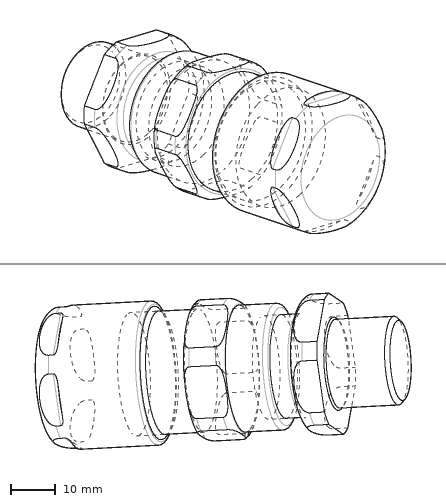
import cadquery as cq
import math

LENGTH = 81.6

FLAT_RADIUS = 15.0
CORNER_RADIUS = 16.2

STUB_RADIUS = 20.0 / 2
STUB_CHAMFER = 1.0
SHOULDER_RADIUS = 21.0 / 2
SHOULDER_START = 14.6
NUT_START = 15.0
NUT_END = 22.0
NUT_END_RADIUS = 25.4 / 2
NUT_ROUND = CORNER_RADIUS - NUT_END_RADIUS
NECK_RADIUS = 11.7
NECK_FILLET = NUT_END_RADIUS - NECK_RADIUS
NECK_DEPTH = 4.1

COLLAR_START = 27.25
COLLAR_RADIUS = 14.3
COLLAR_ROUND = 1.0
HEX_START = 36.9
HEX_END = 46.5
HEX_ROUND = 1.7
BARREL_RADIUS = 13.9
BARREL_DEPTH = 6.5

CAP_START = 55.55
LIP_LENGTH = 1.0
LIP_RADIUS = 15.0
CAP_FRONT_ROUND = 0.7
CAP_END_ROUND = 4.1
CAP_FLAT_START = 75.45
WALL_FILLET = 1.0


def arc_middle(center_x, center_r, radius, angle):
    """Point of an arc in the (x, r) half plane, at an angle in degrees from +X."""
    turn = math.radians(angle)
    return (center_x + radius * math.cos(turn), center_r + radius * math.sin(turn))


def turned(outline):
    """Solid of revolution about the X axis of a closed (x, r) outline."""
    return outline.close().revolve(360, (0, 0, 0), (1, 0, 0))


def bar(radius, start, end):
    """Round bar along X."""
    return cq.Workplane("YZ", origin=(start, 0, 0)).circle(radius).extrude(end - start)


def hexagon(start, end):
    """Hexagonal prism with two of its flats facing +Z and -Z."""
    across_corners = 2 * FLAT_RADIUS / math.cos(math.pi / 6)
    return cq.Workplane("YZ", origin=(start, 0, 0)).polygon(6, across_corners).extrude(end - start)


def make_entry():
    """Stub with a conical shoulder, nut with one rounded side, and a neck that enters the collar."""
    stub = bar(STUB_RADIUS, 0, NUT_START).faces("<X").chamfer(STUB_CHAMFER)
    shoulder = turned(
        cq.Workplane("XY")
        .moveTo(SHOULDER_START, 0)
        .lineTo(SHOULDER_START, STUB_RADIUS)
        .lineTo(NUT_START, SHOULDER_RADIUS)
        .lineTo(NUT_START, 0)
    )
    round_x = NUT_END - NUT_ROUND
    round_r = CORNER_RADIUS - NUT_ROUND
    fillet_x = NUT_END + NECK_FILLET
    fillet_r = NECK_RADIUS + NECK_FILLET
    nut_and_neck = turned(
        cq.Workplane("XY")
        .moveTo(NUT_START, 0)
        .lineTo(NUT_START, CORNER_RADIUS)
        .lineTo(round_x, CORNER_RADIUS)
        .threePointArc(arc_middle(round_x, round_r, NUT_ROUND, 45), (NUT_END, round_r))
        .threePointArc(arc_middle(fillet_x, fillet_r, NECK_FILLET, 225), (fillet_x, NECK_RADIUS))
        .lineTo(COLLAR_START + NECK_DEPTH, NECK_RADIUS)
        .lineTo(COLLAR_START + NECK_DEPTH, 0)
    )
    nut_and_neck = nut_and_neck.intersect(hexagon(NUT_START, COLLAR_START + NECK_DEPTH))
    return stub.union(shoulder).union(nut_and_neck)


def make_middle():
    """Round collar with a hexagonal grip and a barrel that enters the cap."""
    collar = bar(COLLAR_RADIUS, COLLAR_START, HEX_START).faces("<X").edges().fillet(COLLAR_ROUND)
    grip = bar(CORNER_RADIUS, HEX_START, HEX_END).edges().fillet(HEX_ROUND)
    grip = grip.intersect(hexagon(HEX_START, HEX_END))
    barrel = bar(BARREL_RADIUS, HEX_END, CAP_START + BARREL_DEPTH)
    neck_hole = bar(NECK_RADIUS, COLLAR_START, COLLAR_START + NECK_DEPTH)
    return collar.union(grip).union(barrel).cut(neck_hole)


def make_cap():
    """Round cap with a conical lip, a rounded end and six wrench flats that run out in a filleted wall."""
    body_start = CAP_START + LIP_LENGTH
    front_x = body_start + CAP_FRONT_ROUND
    front_r = CORNER_RADIUS - CAP_FRONT_ROUND
    end_x = LENGTH - CAP_END_ROUND
    end_r = CORNER_RADIUS - CAP_END_ROUND
    cap = turned(
        cq.Workplane("XY")
        .moveTo(CAP_START, 0)
        .lineTo(CAP_START, BARREL_RADIUS)
        .lineTo(body_start, LIP_RADIUS)
        .lineTo(body_start, front_r)
        .threePointArc(arc_middle(front_x, front_r, CAP_FRONT_ROUND, 135), (front_x, CORNER_RADIUS))
        .lineTo(end_x, CORNER_RADIUS)
        .threePointArc(arc_middle(end_x, end_r, CAP_END_ROUND, 45), (LENGTH, end_r))
        .lineTo(LENGTH, 0)
    )
    flat_cutter = (
        cq.Workplane("XZ")
        .moveTo(CAP_FLAT_START, CORNER_RADIUS)
        .lineTo(CAP_FLAT_START, FLAT_RADIUS + WALL_FILLET)
        .radiusArc((CAP_FLAT_START + WALL_FILLET, FLAT_RADIUS), -WALL_FILLET)
        .lineTo(LENGTH, FLAT_RADIUS)
        .lineTo(LENGTH, CORNER_RADIUS)
        .close()
        .extrude(CORNER_RADIUS, both=True)
    )
    for side in range(6):
        cap = cap.cut(flat_cutter.rotate((0, 0, 0), (1, 0, 0), 60 * side))
    return cap.cut(bar(BARREL_RADIUS, CAP_START, CAP_START + BARREL_DEPTH))


entry = make_entry()
middle = make_middle()
cap = make_cap()

result = cq.Compound.makeCompound([entry.val(), middle.val(), cap.val()])